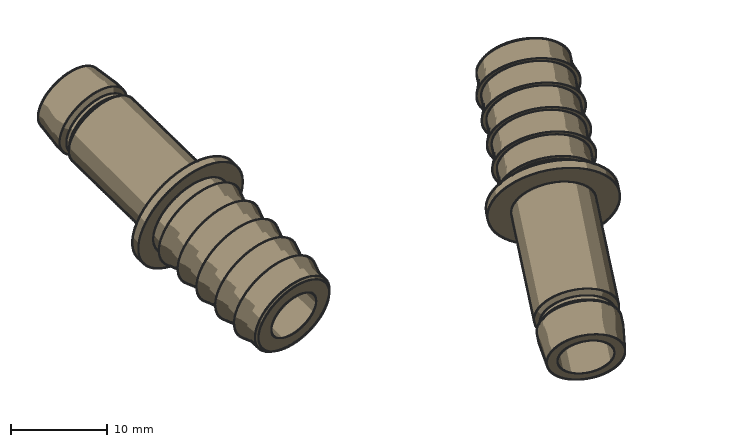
import cadquery as cq

total_length = 37.0
bore_diameter = 6.0

stem_diameter = 9.0
nose_tip_diameter = 8.3
nose_length = 3.0
groove_start = 4.0
groove_floor_diameter = 8.0
groove_floor_width = 0.5

flange_start = 19.0
flange_thickness = 1.0
flange_diameter = 14.0

tail_diameter = 10.0
barb_diameter = 11.0
barb_count = 5
end_chamfer = 0.25

bore_radius = bore_diameter / 2
stem_radius = stem_diameter / 2
nose_tip_radius = nose_tip_diameter / 2
groove_floor_radius = groove_floor_diameter / 2
flange_radius = flange_diameter / 2
tail_radius = tail_diameter / 2
barb_radius = barb_diameter / 2

groove_depth = stem_radius - groove_floor_radius
groove_floor_start = groove_start + groove_depth
groove_floor_end = groove_floor_start + groove_floor_width
groove_end = groove_floor_end + groove_depth

flange_end = flange_start + flange_thickness
land_length = (total_length - flange_end) / (2 * barb_count + 1)
barb_pitch = 2 * land_length


def revolve_about_x(half_profile):
    """Turn a closed half profile in the XY plane through a full circle about X."""
    return half_profile.close().revolve(360, (0, 0, 0), (1, 0, 0))


def make_stem():
    """Solid stem with a tapered nose and a sloped-wall groove, running through the flange."""
    half_profile = (
        cq.Workplane("XY")
        .moveTo(0, 0)
        .lineTo(0, nose_tip_radius)
        .lineTo(nose_length, stem_radius)
        .lineTo(groove_start, stem_radius)
        .lineTo(groove_floor_start, groove_floor_radius)
        .lineTo(groove_floor_end, groove_floor_radius)
        .lineTo(groove_end, stem_radius)
        .lineTo(flange_end, stem_radius)
        .lineTo(flange_end, 0)
    )
    return revolve_about_x(half_profile)


def make_flange():
    """Plain disc that stops the hose and the plug."""
    return cq.Workplane("YZ").workplane(offset=flange_start).circle(flange_radius).extrude(flange_thickness)


def make_tail():
    """Solid hose tail: each barb steps up sharply and tapers down toward the free end."""
    half_profile = cq.Workplane("XY").moveTo(flange_start, 0).lineTo(flange_start, tail_radius)
    for index in range(barb_count):
        barb_start = flange_end + land_length + index * barb_pitch
        half_profile = (
            half_profile
            .lineTo(barb_start, tail_radius)
            .lineTo(barb_start, barb_radius)
            .lineTo(barb_start + land_length, tail_radius)
        )
    half_profile = (
        half_profile
        .lineTo(total_length - end_chamfer, tail_radius)
        .lineTo(total_length, tail_radius - end_chamfer)
        .lineTo(total_length, 0)
    )
    return revolve_about_x(half_profile)


bore = cq.Workplane("YZ").circle(bore_radius).extrude(total_length)
result = make_stem().union(make_flange()).union(make_tail()).cut(bore)